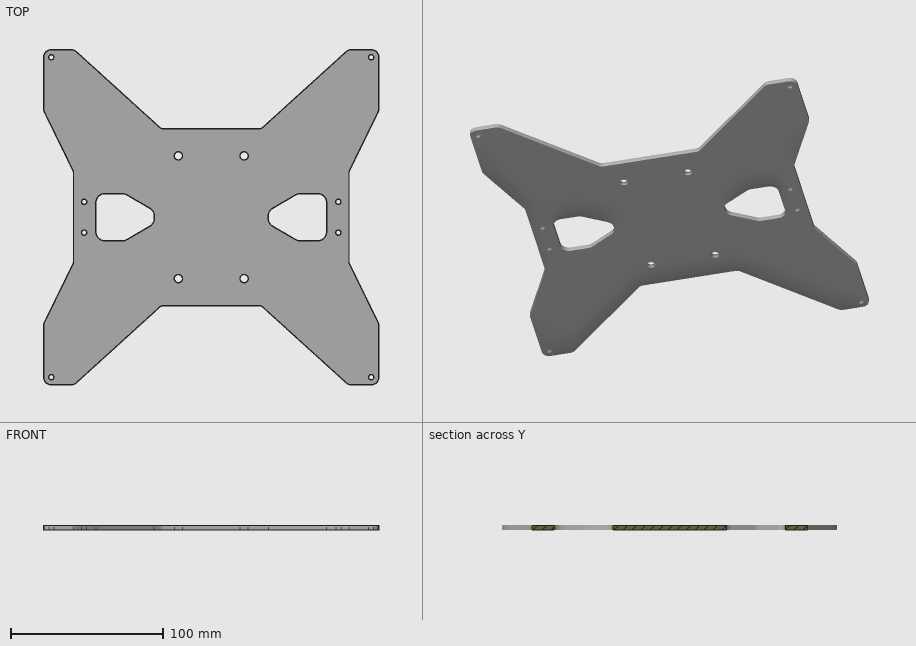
import cadquery as cq

plate_size = 220.0
plate_thickness = 3.0
half_size = plate_size / 2

arm_end_x = 90.0
arm_side_y = 70.0
waist_half_x = 90.5
waist_side_half_y = 30.0
waist_half_y = 58.0
waist_end_half_x = 32.8
arm_corner_radius = 5.0
waist_corner_radius = 4.0

corner_hole_diameter = 3.3
corner_hole_inset = arm_corner_radius
side_hole_diameter = 3.3
side_hole_x = 83.4
side_hole_y = 10.1
centre_hole_diameter = 5.3
centre_hole_x = 21.5
centre_hole_y = 40.3

window_outer_x = 75.7
window_inner_x = 37.5
window_taper_x = 56.8
window_half_y = 15.5
window_inner_half_y = 4.2
window_corner_radius = 6.0


def make_plate():
    """Star-shaped plate with every corner rounded."""
    quarter = [
        (waist_half_x, waist_side_half_y),
        (half_size, arm_side_y),
        (half_size, half_size),
        (arm_end_x, half_size),
        (waist_end_half_x, waist_half_y),
    ]
    upper_half = quarter + [(-x, y) for x, y in reversed(quarter)]
    lower_half = [(-x, -y) for x, y in upper_half]
    plate = cq.Workplane("XY").polyline(upper_half + lower_half).close().extrude(plate_thickness)
    reach_x = (waist_half_x + half_size) / 2
    reach_y = (waist_half_y + arm_side_y) / 2
    waist_zone = cq.selectors.BoxSelector((-reach_x, -reach_y, 0), (reach_x, reach_y, plate_thickness))
    plate = plate.edges("|Z").edges(waist_zone).fillet(waist_corner_radius)
    arm_zone = cq.selectors.InverseSelector(waist_zone)
    return plate.edges("|Z").edges(arm_zone).fillet(arm_corner_radius)


def make_holes(x, y, diameter):
    """Four through-hole cutters, mirrored about both centre lines."""
    centres = [(sx * x, sy * y) for sx in (-1, 1) for sy in (-1, 1)]
    return cq.Workplane("XY").pushPoints(centres).circle(diameter / 2).extrude(plate_thickness)


def make_window():
    """Cutter for the window on the +X side."""
    upper = [
        (window_inner_x, window_inner_half_y),
        (window_taper_x, window_half_y),
        (window_outer_x, window_half_y),
    ]
    lower = [(x, -y) for x, y in reversed(upper)]
    window = cq.Workplane("XY").polyline(upper + lower).close().extrude(plate_thickness)
    return window.edges("|Z").fillet(window_corner_radius)


corner_hole_offset = half_size - corner_hole_inset
window = make_window()

result = (
    make_plate()
    .cut(make_holes(corner_hole_offset, corner_hole_offset, corner_hole_diameter))
    .cut(make_holes(side_hole_x, side_hole_y, side_hole_diameter))
    .cut(make_holes(centre_hole_x, centre_hole_y, centre_hole_diameter))
    .cut(window)
    .cut(window.mirror("YZ"))
)